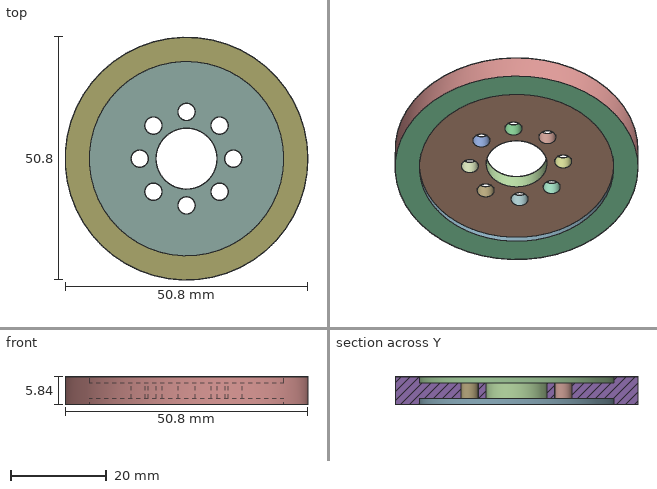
import cadquery as cq

OUTER_DIAMETER = 50.8
THICKNESS = 5.84
RIM_WIDTH = 5.08
RECESS_DEPTH = 1.27
BORE_DIAMETER = 12.7
BOLT_HOLE_COUNT = 8
BOLT_HOLE_DIAMETER = 3.56
BOLT_CIRCLE_DIAMETER = 19.56

RECESS_DIAMETER = OUTER_DIAMETER - 2 * RIM_WIDTH
WEB_THICKNESS = THICKNESS - 2 * RECESS_DEPTH
FULL_TURN = 360


def make_rim():
    """Full-thickness outer ring, centred on the Z axis with its bottom at Z = 0."""
    return (
        cq.Workplane("XY")
        .circle(OUTER_DIAMETER / 2)
        .circle(RECESS_DIAMETER / 2)
        .extrude(THICKNESS)
    )


def make_web():
    """Thinner central disc, recessed equally from both faces of the rim."""
    return (
        cq.Workplane("XY")
        .workplane(offset=RECESS_DEPTH)
        .circle(RECESS_DIAMETER / 2)
        .circle(BORE_DIAMETER / 2)
        .extrude(WEB_THICKNESS)
    )


def make_bolt_holes():
    """Ring of through-hole cutters, the first one on the +X axis."""
    return (
        cq.Workplane("XY")
        .polarArray(BOLT_CIRCLE_DIAMETER / 2, 0, FULL_TURN, BOLT_HOLE_COUNT)
        .circle(BOLT_HOLE_DIAMETER / 2)
        .extrude(THICKNESS)
    )


result = make_rim().union(make_web()).cut(make_bolt_holes())